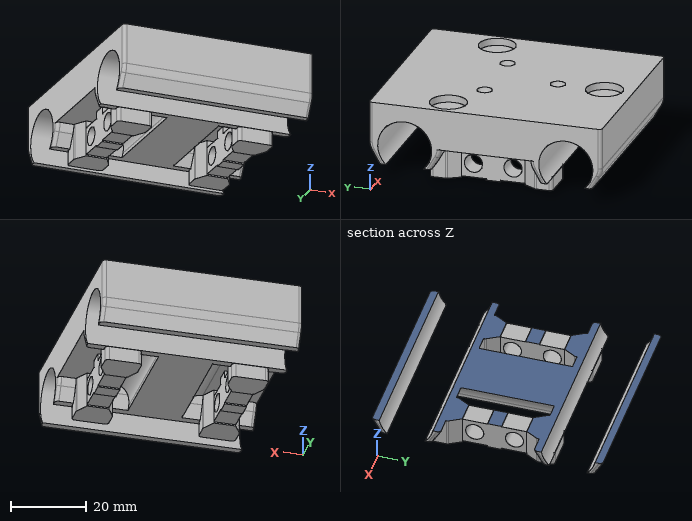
import cadquery as cq
import math

LENGTH = 55.0
WIDTH = 65.0
HEIGHT = 21.4
EDGE_RADIUS = 1.0
SELECTION_MARGIN = 0.05

BORE_DIAMETER = 15.0
BORE_Y = WIDTH / 2 - 10.0
BORE_Z = HEIGHT - 12.0
CLIP_BOTTOM_Z = HEIGHT - 17.4
UNDERSIDE_Z = HEIGHT - 11.4
LIP_ANGLE = math.radians(30)
LIP_BEND_RADIUS = 5.0

BRACKET_X = 17.5
FOOT_LENGTH = 10.1
FOOT_OUTER_Y = 17.15
WEB_HALF_WIDTH = 8.9
FLARE_WIDTH = 3.5
FLARE_DEPTH = 2.0
WINDOW_HEIGHT = 2.0
WEB_GROOVE_DEPTH = 0.4
RIB_WIDTH = 3.95
WEB_HOLE_DIAMETER = 5.0
WEB_HOLE_Y = 5.5
WEB_HOLE_Z = HEIGHT - 17.0

CROSS_WALL_RADIUS = 5.0
CROSS_WALL_HALF_LENGTH = BRACKET_X - FOOT_LENGTH / 2 - CROSS_WALL_RADIUS

POCKET_DIAMETER = 10.1
POCKET_DEPTH = 2.0
POCKET_CIRCLE_RADIUS = 24.5
BALL_DIAMETER = 4.0
BALL_CIRCLE_RADIUS = 11.5
SEAT_ANGLES = (30, 150, 270)

BEND_INSET = LIP_BEND_RADIUS * (1 - math.cos(LIP_ANGLE))
BEND_DROP = LIP_BEND_RADIUS * math.sin(LIP_ANGLE)
BEND_MID_INSET = LIP_BEND_RADIUS * (1 - math.cos(LIP_ANGLE / 2))
BEND_MID_DROP = LIP_BEND_RADIUS * math.sin(LIP_ANGLE / 2)
BEND_END_Z = UNDERSIDE_Z - BEND_DROP
LIP_INSET = BEND_INSET + (BEND_END_Z - CLIP_BOTTOM_Z) * math.tan(LIP_ANGLE)

CLIP_OUTER_Y = WIDTH / 2
CLIP_INNER_Y = 2 * BORE_Y - CLIP_OUTER_Y
LIP_INNER_Y = CLIP_INNER_Y + LIP_INSET


def on_circle(radius):
    """Places at the seat angles on a circle around the Z axis."""
    places = []
    for angle in SEAT_ANGLES:
        turn = math.radians(angle)
        places.append((radius * math.cos(turn), radius * math.sin(turn)))
    return places


def make_clip(side):
    """Clip below the underside level, tapering to its lips; its bore is cut later."""
    bend_mid_z = UNDERSIDE_Z - BEND_MID_DROP
    clip = (
        cq.Workplane("YZ")
        .moveTo(CLIP_INNER_Y, UNDERSIDE_Z)
        .threePointArc((CLIP_INNER_Y + BEND_MID_INSET, bend_mid_z), (CLIP_INNER_Y + BEND_INSET, BEND_END_Z))
        .lineTo(LIP_INNER_Y, CLIP_BOTTOM_Z)
        .lineTo(CLIP_OUTER_Y - LIP_INSET, CLIP_BOTTOM_Z)
        .lineTo(CLIP_OUTER_Y - BEND_INSET, BEND_END_Z)
        .threePointArc((CLIP_OUTER_Y - BEND_MID_INSET, bend_mid_z), (CLIP_OUTER_Y, UNDERSIDE_Z))
        .close()
        .extrude(LENGTH / 2, both=True)
    )
    flank_edges = cq.selectors.BoxSelector(
        (-LENGTH, 0, CLIP_BOTTOM_Z + SELECTION_MARGIN),
        (LENGTH, WIDTH, UNDERSIDE_Z - SELECTION_MARGIN),
    )
    clip = clip.faces("<X or >X").edges(flank_edges).fillet(EDGE_RADIUS)
    if side < 0:
        clip = clip.mirror("XZ")
    return clip


def make_slab():
    return (
        cq.Workplane("XY", origin=(0, 0, UNDERSIDE_Z))
        .rect(LENGTH, WIDTH)
        .extrude(HEIGHT - UNDERSIDE_Z)
        .edges("|Z")
        .fillet(EDGE_RADIUS)
    )


def make_cross_wall():
    """Wall joining the inner lips, blended into the underside at both ends."""
    half = CROSS_WALL_HALF_LENGTH
    radius = CROSS_WALL_RADIUS
    blend_z = UNDERSIDE_Z - radius
    return (
        cq.Workplane("XZ")
        .moveTo(-half - radius, UNDERSIDE_Z)
        .radiusArc((-half, blend_z), radius)
        .lineTo(-half, CLIP_BOTTOM_Z)
        .lineTo(half, CLIP_BOTTOM_Z)
        .lineTo(half, blend_z)
        .radiusArc((half + radius, UNDERSIDE_Z), radius)
        .close()
        .extrude(LIP_INNER_Y, both=True)
    )


def make_bracket(center_x):
    """Two feet joined by a thinner web with flared ends, two holes and tie openings."""
    half = FOOT_LENGTH / 2
    web_half = half - FLARE_DEPTH
    flare_y = WEB_HALF_WIDTH + FLARE_WIDTH
    recess = (
        cq.Workplane("XY")
        .polyline([
            (-half, -flare_y),
            (-web_half, -WEB_HALF_WIDTH),
            (-web_half, WEB_HALF_WIDTH),
            (-half, flare_y),
        ])
        .close()
        .extrude(UNDERSIDE_Z)
    )
    bracket = (
        cq.Workplane("XY")
        .rect(FOOT_LENGTH, 2 * FOOT_OUTER_Y)
        .extrude(UNDERSIDE_Z)
        .cut(recess)
        .cut(recess.mirror("YZ"))
    )
    bracket = bracket.faces("<X or >X").edges("|Z").fillet(EDGE_RADIUS)

    holes = (
        cq.Workplane("YZ")
        .pushPoints([(-WEB_HOLE_Y, WEB_HOLE_Z), (WEB_HOLE_Y, WEB_HOLE_Z)])
        .circle(WEB_HOLE_DIAMETER / 2)
        .extrude(FOOT_LENGTH, both=True)
    )
    bracket = bracket.cut(holes)

    opening_width = WEB_HALF_WIDTH - RIB_WIDTH / 2
    opening_y = (WEB_HALF_WIDTH + RIB_WIDTH / 2) / 2
    for bottom_z, height in ((UNDERSIDE_Z - WINDOW_HEIGHT, WINDOW_HEIGHT), (0, WEB_GROOVE_DEPTH)):
        openings = (
            cq.Workplane("XY", origin=(0, 0, bottom_z))
            .pushPoints([(0, -opening_y), (0, opening_y)])
            .rect(FOOT_LENGTH, opening_width)
            .extrude(height)
        )
        bracket = bracket.cut(openings)
    return bracket.translate((center_x, 0, 0))


def make_bores():
    return (
        cq.Workplane("YZ")
        .pushPoints([(-BORE_Y, BORE_Z), (BORE_Y, BORE_Z)])
        .circle(BORE_DIAMETER / 2)
        .extrude(LENGTH, both=True)
    )


def make_pockets():
    return (
        cq.Workplane("XY", origin=(0, 0, HEIGHT - POCKET_DEPTH))
        .pushPoints(on_circle(POCKET_CIRCLE_RADIUS))
        .circle(POCKET_DIAMETER / 2)
        .extrude(POCKET_DEPTH)
    )


def make_balls():
    """Balls centred on the top face, so each leaves a half-round seat."""
    return (
        cq.Workplane("XY", origin=(0, 0, HEIGHT))
        .pushPoints(on_circle(BALL_CIRCLE_RADIUS))
        .sphere(BALL_DIAMETER / 2)
    )


body = make_slab().union(make_cross_wall())
for side in (-1, 1):
    body = body.union(make_clip(side))
    body = body.union(make_bracket(side * BRACKET_X))

result = body.cut(make_bores()).cut(make_pockets()).cut(make_balls())